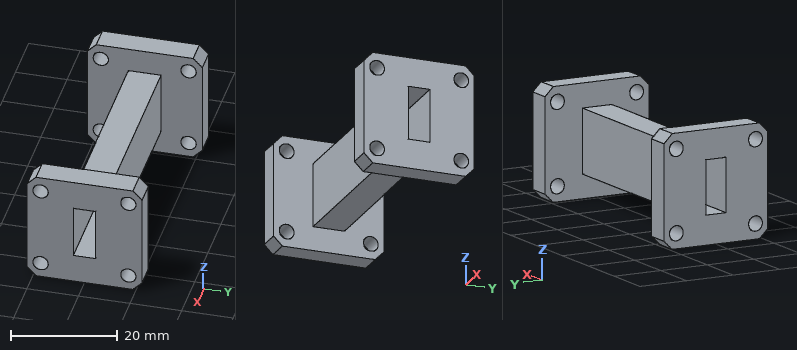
import cadquery as cq

length = 50.8

flange_side = 22.35
flange_thickness = 4.85
corner_chamfer = 1.8
hole_diameter = 2.95
hole_spacing_y = 17.0
hole_spacing_z = 16.25

bore_width = 4.3
bore_height = 10.65
wall = 1.0
tube_width = bore_width + 2 * wall
tube_height = bore_height + 2 * wall


def bar_along_x(start, width, height, extent):
    """Rectangular bar centred on the X axis, starting at X = start."""
    return cq.Workplane("YZ", origin=(start, 0, 0)).rect(width, height).extrude(extent)


def flange(start):
    """Square flange with chamfered corners and four bolt holes."""
    plate = bar_along_x(start, flange_side, flange_side, flange_thickness)
    plate = plate.edges("|X").chamfer(corner_chamfer)
    holes = (
        cq.Workplane("YZ", origin=(start, 0, 0))
        .rect(hole_spacing_y, hole_spacing_z, forConstruction=True)
        .vertices()
        .circle(hole_diameter / 2)
        .extrude(flange_thickness)
    )
    return plate.cut(holes)


body = bar_along_x(-length / 2, tube_width, tube_height, length)
for flange_start in (-length / 2, length / 2 - flange_thickness):
    body = body.union(flange(flange_start))

bore = bar_along_x(-length / 2, bore_width, bore_height, length)
result = body.cut(bore)